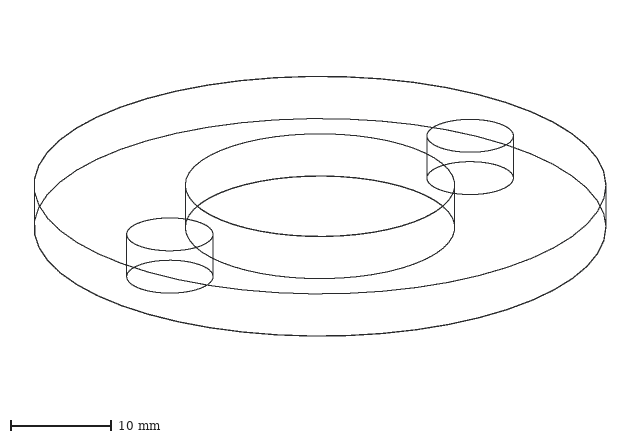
import cadquery as cq

outer_diameter = 57.15
thickness = 4.57
bore_diameter = 26.92
pin_hole_diameter = 8.64
pin_hole_spacing = 39.62


def make_disc():
    """Flat disc centred on the Z axis, resting on Z = 0."""
    return cq.Workplane("XY").circle(outer_diameter / 2).extrude(thickness)


def cut_bore(body):
    """Central through bore."""
    return body.faces(">Z").workplane(origin=(0, 0, 0)).hole(bore_diameter)


def cut_pin_holes(body):
    """Two through holes on the Y axis, one on each side of the bore."""
    hole_offset = pin_hole_spacing / 2
    hole_centres = [(0, hole_offset), (0, -hole_offset)]
    return body.faces(">Z").workplane(origin=(0, 0, 0)).pushPoints(hole_centres).hole(pin_hole_diameter)


result = cut_pin_holes(cut_bore(make_disc()))